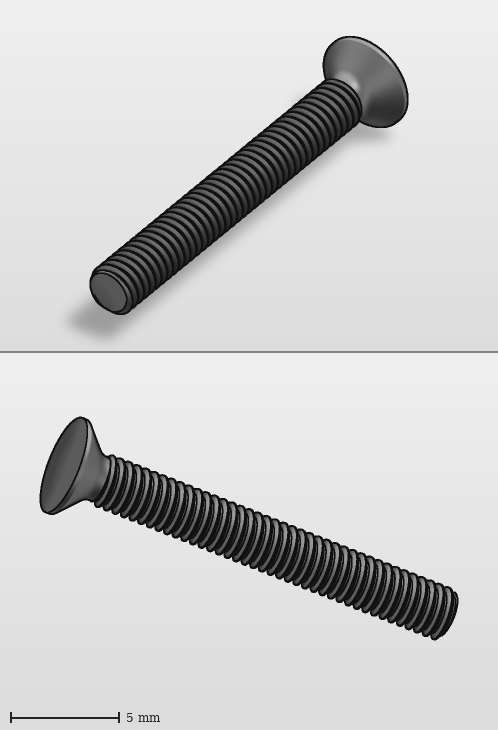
import cadquery as cq
import math

length = 20.0
head_radius = 4.7 / 2

cone_angle = math.radians(45)
rim_height = 0.25
rim_blend = 0.12
neck_radius = 1.08
neck_blend = 0.75
neck_end = 1.88

flank_angle = math.radians(30)
counted_turns = 40
counted_turns_span = 18.0
pitch = counted_turns_span / counted_turns
crest_radius = 2.5 / 2
sharp_height = pitch * math.cos(flank_angle)
thread_depth = 5 / 8 * sharp_height
root_radius = crest_radius - thread_depth
crest_flat = pitch / 8
flank_length = thread_depth * math.tan(flank_angle)
root_flat = pitch - crest_flat - 2 * flank_length

crest_depth = 2.52

tip_radius = 1.05
taper_rise = 0.4

spare_turns = 2


def revolve_about_y(profile):
    return profile.close().revolve(360, (0, 0, 0), (0, 1, 0))


def make_head():
    """Turned head and neck."""
    cone_length = (head_radius - neck_radius) / math.sin(cone_angle)
    rim_tangent = rim_blend * math.tan(cone_angle / 2)
    neck_tangent = neck_blend * math.tan(cone_angle / 2)

    def on_cone(distance_from_rim):
        return (
            head_radius - distance_from_rim * math.sin(cone_angle),
            -rim_height - distance_from_rim * math.cos(cone_angle),
        )

    cone_end = on_cone(cone_length)[1]
    return revolve_about_y(
        cq.Workplane("XY")
        .lineTo(head_radius, 0)
        .lineTo(head_radius, -rim_height + rim_tangent)
        .tangentArcPoint(on_cone(rim_tangent), relative=False)
        .lineTo(*on_cone(cone_length - neck_tangent))
        .tangentArcPoint((neck_radius, cone_end - neck_tangent), relative=False)
        .lineTo(neck_radius, -neck_end)
        .lineTo(0, -neck_end)
    )


def make_helix(radius, height):
    """One right-handed turn about Z, starting on the +X side."""
    turn = cq.Wire.makeHelix(pitch, pitch, radius).Edges()[0]
    return turn.translate(cq.Vector(0, 0, height))


def copy_along_z(faces, heights):
    return [face.translate(cq.Vector(0, 0, height)) for height in heights for face in faces]


def make_threaded_rod(turns):
    """Right-handed threaded rod along +Z; its first root flat starts at Z = 0 on the +X side."""
    corners = [
        (root_radius, 0),
        (root_radius, root_flat),
        (crest_radius, root_flat + flank_length),
        (crest_radius, root_flat + flank_length + crest_flat),
        (root_radius, pitch),
    ]

    helices = [make_helix(radius, height) for radius, height in corners]
    strips = [cq.Face.makeRuledSurface(low, high) for low, high in zip(helices, helices[1:])]
    side = copy_along_z(strips, [turn * pitch for turn in range(turns)])

    axis = cq.Edge.makeLine(cq.Vector(0, 0, 0), cq.Vector(0, 0, pitch))
    helicoid = cq.Face.makeRuledSurface(axis, helices[0])
    step_points = [cq.Vector(radius, 0, height) for radius, height in [(0, 0), *corners, (0, pitch)]]
    step = cq.Face.makeFromWires(cq.Wire.makePolygon(step_points, close=True))
    ends = copy_along_z([helicoid, step], [0, turns * pitch])

    return cq.Solid.makeSolid(cq.Shell.makeShell(side + ends))


def make_envelope():
    """Turned volume that trims the rod to length and tapers both thread ends."""
    return revolve_about_y(
        cq.Workplane("XY")
        .moveTo(0, -neck_end)
        .lineTo(neck_radius, -neck_end)
        .lineTo(neck_radius + taper_rise, -neck_end - taper_rise)
        .lineTo(tip_radius + taper_rise, -length + taper_rise)
        .lineTo(tip_radius, -length)
        .lineTo(0, -length)
    )


def make_shank():
    """Threaded shank from the neck to the tip."""
    turns_to_tip = math.ceil((length - crest_depth) / pitch) + spare_turns
    turns_to_neck = math.ceil((crest_depth - neck_end) / pitch) + spare_turns
    first_crest = root_flat + flank_length + crest_flat / 2
    rod_start = -crest_depth - turns_to_tip * pitch - first_crest

    rod = cq.Workplane(make_threaded_rod(turns_to_tip + turns_to_neck))
    rod = rod.rotate((0, 0, 0), (0, 0, 1), 180)
    rod = rod.rotate((0, 0, 0), (1, 0, 0), -90)
    rod = rod.translate((0, rod_start, 0))
    return rod.intersect(make_envelope())


result = make_head().union(make_shank()).solids()